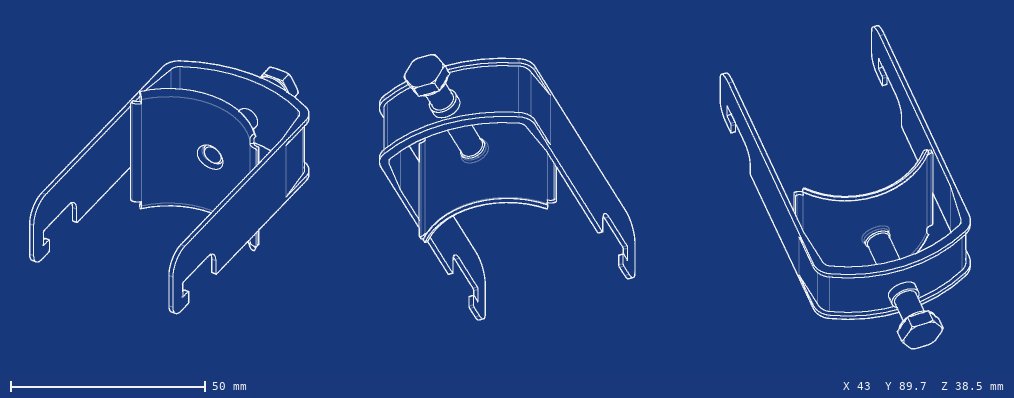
import cadquery as cq
import math


total_length = 89.7
head_top = total_length / 2
leg_tip = -total_length / 2

bow_width = 43.0
clamp_top = 12.8
clamp_height = 20.0
sheet = 1.3
press_depth = 1.2
rim_thickness = sheet + press_depth
bow_crest = 31.2
bow_radius = 40.0
corner_radius = 5.0
panel_end = 11.9
rim_width = 1.5

half_width = bow_width / 2
clamp_bottom = clamp_top - clamp_height
bow_center = bow_crest - bow_radius
corner_x = half_width - corner_radius
corner_y = bow_center + math.sqrt((bow_radius - corner_radius) ** 2 - corner_x ** 2)

tip_top_radius = 6.0
tip_bottom_radius = 4.0
slot_start = -23.3
slot_end = -39.9
slot_top = 1.5
slot_radius = 4.0
hook_wall = -36.9
hook_top = -3.1
edge_radius = 0.45

boss_diameter = 7.5
boss_top = 32.3
shank_diameter = 6.0
hex_across_flats = 10.0
hex_height = 3.5
hex_crown_diameter = 10.5
crown_angle = 30.0
collar_height = 0.5
tip_end = 11.1
tip_chamfer = 0.5

saddle_height = 38.5
saddle_sheet = 1.1
saddle_radius = 21.2
saddle_crest = 10.1
saddle_half_angle = 50.0
lip_radius = 2.0
lip_angle = 65.0
foot_height = 32.2
foot_half_width = 18.9
foot_bottom = 1.5
neck_diameter = 6.7
neck_top = 12.8
neck_fillet = 0.5
countersink_diameter = 7.35

saddle_center = saddle_crest - saddle_radius
saddle_outer_radius = saddle_radius + saddle_sheet


def polar(center, radius, degrees):
    """Point at an angle measured clockwise from +Y."""
    angle = math.radians(degrees)
    return (center[0] + radius * math.sin(angle), center[1] + radius * math.cos(angle))


def mirrored(point):
    return (-point[0], point[1])


def bow_prism(offset, end_offset, z_low, z_high):
    """Filled bow outline, set in by `offset`, tapering to `end_offset` at the panel end."""
    outer = bow_radius - offset
    corner = corner_radius - offset
    corner_center = (corner_x, corner_y)
    blend_angle = math.degrees(math.atan2(corner_x, corner_y - bow_center))
    blend = polar(corner_center, corner, blend_angle)
    corner_mid = polar(corner_center, corner, (blend_angle + 90) / 2)
    corner_end = (half_width - offset, corner_y)
    taper_end = (half_width - end_offset, panel_end)
    leg_end = (half_width - end_offset, leg_tip)
    return (
        cq.Workplane("XY", origin=(0, 0, z_low))
        .moveTo(*mirrored(leg_end))
        .lineTo(*mirrored(taper_end))
        .lineTo(*mirrored(corner_end))
        .threePointArc(mirrored(corner_mid), mirrored(blend))
        .threePointArc((0, bow_center + outer), blend)
        .threePointArc(corner_mid, corner_end)
        .lineTo(*taper_end)
        .lineTo(*leg_end)
        .close()
        .extrude(z_high - z_low)
    )


def y_rod(diameter, y_low, y_high):
    return cq.Workplane("XZ", origin=(0, y_low, 0)).circle(diameter / 2).extrude(y_low - y_high)


def leg_side_outline():
    """Side shape of the clamp: rounded tips and the hooked slot, through both legs."""
    plate = (
        cq.Workplane("YZ", origin=(-half_width, 0, 0))
        .moveTo(leg_tip, clamp_bottom)
        .lineTo(bow_crest, clamp_bottom)
        .lineTo(bow_crest, clamp_top)
        .lineTo(leg_tip, clamp_top)
        .close()
        .extrude(bow_width)
    )
    plate = plate.edges("|X and <Y and >Z").fillet(tip_top_radius)
    plate = plate.edges("|X and <Y and <Z").fillet(tip_bottom_radius)
    slot = (
        cq.Workplane("YZ", origin=(-half_width, 0, 0))
        .moveTo(slot_start, clamp_bottom)
        .lineTo(slot_start, slot_top - slot_radius)
        .radiusArc((slot_start - slot_radius, slot_top), -slot_radius)
        .lineTo(slot_end, slot_top)
        .lineTo(slot_end, hook_top)
        .lineTo(hook_wall, hook_top)
        .lineTo(hook_wall, clamp_bottom)
        .close()
        .extrude(bow_width)
    )
    plate = plate.cut(slot)
    for y, z in [(slot_start, clamp_bottom), (slot_end, slot_top),
                 (hook_wall, hook_top), (hook_wall, clamp_bottom)]:
        plate = plate.edges(cq.selectors.NearestToPointSelector((0, y, z))).fillet(edge_radius)
    return plate


def clamp_bow():
    outside = bow_prism(0, 0, clamp_bottom, clamp_top)
    inside = bow_prism(rim_thickness, sheet, clamp_bottom, clamp_top)
    panel_low = clamp_bottom + rim_width
    panel_high = clamp_top - rim_width
    panel_floor = bow_prism(press_depth, 0, panel_low, panel_high)
    panel_recess = bow_prism(0, 0, panel_low, panel_high).cut(panel_floor)
    return outside.cut(inside).cut(panel_recess).intersect(leg_side_outline())


def clamp():
    """Bow with a boss, bored through for the screw."""
    bow_inside = bow_crest - rim_thickness
    boss = y_rod(boss_diameter, bow_inside + sheet / 2, boss_top)
    bore = y_rod(shank_diameter, bow_inside - sheet, boss_top)
    return clamp_bow().union(boss).cut(bore)


def hex_head():
    hex_corner_radius = hex_across_flats / math.sqrt(3)
    head_base = head_top - hex_height
    head = (
        cq.Workplane("XZ", origin=(0, head_base, 0))
        .polygon(6, 2 * hex_corner_radius)
        .extrude(-hex_height)
    )
    crown_drop = (hex_corner_radius - hex_crown_diameter / 2) * math.tan(math.radians(crown_angle))
    crown = (
        cq.Workplane("XY")
        .moveTo(0, head_base)
        .lineTo(hex_corner_radius, head_base)
        .lineTo(hex_corner_radius, head_top - crown_drop)
        .lineTo(hex_crown_diameter / 2, head_top)
        .lineTo(0, head_top)
        .close()
        .revolve(360, (0, 0, 0), (0, 1, 0))
    )
    return head.intersect(crown)


def screw():
    collar_top = head_top - hex_height
    collar_base = collar_top - collar_height
    shank = y_rod(shank_diameter, tip_end, collar_base).faces("<Y").chamfer(tip_chamfer)
    collar = y_rod(hex_across_flats, collar_base, collar_top)
    return shank.union(collar).union(hex_head())


def saddle_shell():
    """Curved pressure plate with a lip rolled outward along both ends."""
    lip_start = saddle_height / 2 - lip_radius * math.sin(math.radians(lip_angle))
    outer_lip_radius = lip_radius - saddle_sheet
    lip_center_r = saddle_radius + lip_radius

    def lip_point(radius, degrees, side):
        angle = math.radians(degrees)
        return (lip_center_r - radius * math.cos(angle),
                side * (lip_start + radius * math.sin(angle)))

    section = (
        cq.Workplane("XZ")
        .moveTo(saddle_radius, -lip_start)
        .lineTo(saddle_radius, lip_start)
        .threePointArc(lip_point(lip_radius, lip_angle / 2, 1), lip_point(lip_radius, lip_angle, 1))
        .lineTo(*lip_point(outer_lip_radius, lip_angle, 1))
        .threePointArc(lip_point(outer_lip_radius, lip_angle / 2, 1),
                       (saddle_outer_radius, lip_start))
        .lineTo(saddle_outer_radius, -lip_start)
        .threePointArc(lip_point(outer_lip_radius, lip_angle / 2, -1),
                       lip_point(outer_lip_radius, lip_angle, -1))
        .lineTo(*lip_point(lip_radius, lip_angle, -1))
        .threePointArc(lip_point(lip_radius, lip_angle / 2, -1), (saddle_radius, -lip_start))
        .close()
    )
    shell = section.revolve(2 * saddle_half_angle, (0, 0, 0), (0, 1, 0))
    return shell.rotate((0, 0, 0), (0, 0, 1), 90 - saddle_half_angle).translate((0, saddle_center, 0))


def saddle_foot():
    """Foot at the +X end: the plate bends back until it lies square to the screw."""
    center = (0, saddle_center)
    inner_end = polar(center, saddle_radius, saddle_half_angle)
    outer_end = polar(center, saddle_outer_radius, saddle_half_angle)
    bend_radius = (inner_end[1] - foot_bottom) / (1 - math.cos(math.radians(saddle_half_angle)))
    bend_center = polar(inner_end, bend_radius, saddle_half_angle)
    inner_bend = bend_radius - saddle_sheet
    foot_top = foot_bottom + saddle_sheet
    return (
        cq.Workplane("XY", origin=(0, 0, -foot_height / 2))
        .moveTo(*inner_end)
        .threePointArc(polar(bend_center, bend_radius, 180 + saddle_half_angle / 2),
                       (bend_center[0], foot_bottom))
        .lineTo(foot_half_width, foot_bottom)
        .lineTo(foot_half_width, foot_top)
        .lineTo(bend_center[0], foot_top)
        .threePointArc(polar(bend_center, inner_bend, 180 + saddle_half_angle / 2), outer_end)
        .close()
        .extrude(foot_height)
        .edges("|Y and >X").fillet(edge_radius)
    )


def saddle_countersink():
    """Cone in the concave face, narrowing to the screw where the tip chamfer starts."""
    cone_end = tip_end + tip_chamfer
    end_radius = shank_diameter / 2
    slope = (countersink_diameter / 2 - end_radius) / (cone_end - saddle_crest)
    mouth_y = saddle_crest - saddle_sheet
    mouth_radius = end_radius + slope * (cone_end - mouth_y)
    return (
        cq.Workplane("XY")
        .moveTo(0, mouth_y)
        .lineTo(mouth_radius, mouth_y)
        .lineTo(end_radius, cone_end)
        .lineTo(0, cone_end)
        .close()
        .revolve(360, (0, 0, 0), (0, 1, 0))
    )


def saddle():
    foot = saddle_foot()
    neck = y_rod(neck_diameter, saddle_crest + saddle_sheet / 2, neck_top)
    neck = neck.faces(">Y").chamfer((neck_diameter - shank_diameter) / 2)
    plate = saddle_shell().union(neck)
    neck_root = (0, saddle_crest + saddle_sheet, neck_diameter / 2)
    plate = plate.edges(cq.selectors.NearestToPointSelector(neck_root)).fillet(neck_fillet)
    return plate.union(foot).union(foot.mirror("YZ")).cut(saddle_countersink())


def pressure_screw():
    """Screw carrying the saddle on its tip, as one body."""
    return saddle().union(screw())


clamp_body = clamp()
pressure_screw_body = pressure_screw()
result = cq.Compound.makeCompound([clamp_body.val(), pressure_screw_body.val()])